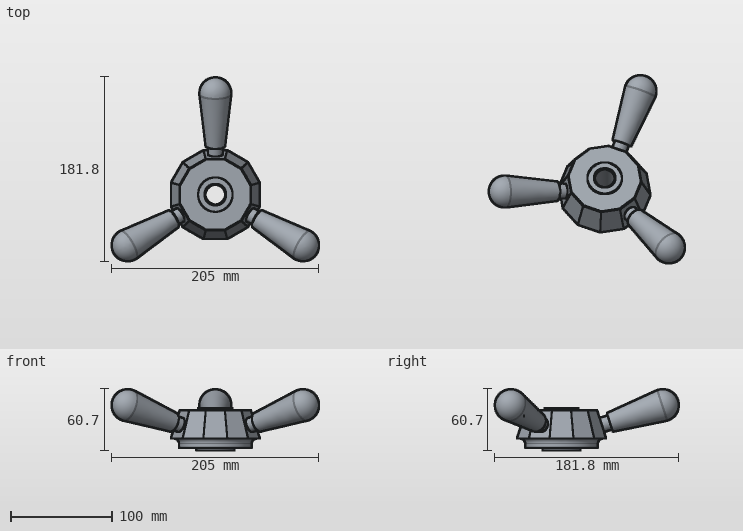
import cadquery as cq
import math

lower_collar_top = 2.5
skirt_bottom = 11.7
hub_top = 40.2
upper_collar_top = 42.0

lower_collar_diameter = 38.0
base_disc_diameter = 72.0
upper_collar_diameter = 34.0
hub_sides = 12
skirt_width = 88.0
hub_top_width = 70.5
hub_top_chamfer = 0.6
skirt_rim = 0.6
neck_fillet = 5.0
base_disc_edge_round = 0.8
lower_collar_edge_round = 0.6

bore_diameter = 19.3
bore_chamfer = 1.0

handle_count = 3
first_handle_angle = 90
handle_tilt = 18
grip_inner_diameter = 19.7
cap_diameter = 32.0
grip_length = 55.0
stem_diameter = 15.0
stem_length = 20.5
cap_band_width = 1.0
grip_edge_round = 0.8
cap_radius = cap_diameter / 2

overall_width = 205
overall_height = 60.7
second_handle_slope = math.radians(first_handle_angle + 360 / handle_count - 180)
cap_centre_radius = (overall_width / 2 - cap_radius) / math.cos(second_handle_slope)
cap_centre_height = overall_height - cap_radius


def dodecagon(width, height):
    """Regular polygon wire with the given width across its flats."""
    corner_radius = width / 2 / math.cos(math.pi / hub_sides)
    corners = []
    for i in range(hub_sides):
        angle = 2 * math.pi * (i + 0.5) / hub_sides
        corner_x = corner_radius * math.cos(angle)
        corner_y = corner_radius * math.sin(angle)
        corners.append(cq.Vector(corner_x, corner_y, height))
    return cq.Wire.makePolygon(corners, close=True)


def faceted_layer(bottom_width, bottom_height, top_width, top_height):
    """Solid between two dodecagons, with flat sides."""
    wires = [dodecagon(bottom_width, bottom_height), dodecagon(top_width, top_height)]
    return cq.Workplane(obj=cq.Solid.makeLoft(wires, True))


def make_hub():
    """Twelve-sided body with a round base below and collars on both ends."""
    rim_top = skirt_bottom + skirt_rim
    shoulder = hub_top - hub_top_chamfer
    body = faceted_layer(skirt_width, skirt_bottom, skirt_width, rim_top)
    body = body.union(faceted_layer(skirt_width, rim_top, hub_top_width, shoulder))
    top_face_width = hub_top_width - 2 * hub_top_chamfer
    body = body.union(faceted_layer(hub_top_width, shoulder, top_face_width, hub_top))

    base_radius = base_disc_diameter / 2
    fillet_start = skirt_bottom - neck_fillet
    fillet_mid = (
        base_radius + neck_fillet * (1 - math.cos(math.pi / 4)),
        fillet_start + neck_fillet * math.sin(math.pi / 4),
    )
    base_disc = (
        cq.Workplane("XZ")
        .moveTo(0, lower_collar_top)
        .lineTo(base_radius, lower_collar_top)
        .lineTo(base_radius, fillet_start)
        .threePointArc(fillet_mid, (base_radius + neck_fillet, skirt_bottom))
        .lineTo(0, skirt_bottom)
        .close()
        .revolve(360, (0, 0), (0, 1))
        .faces("<Z")
        .edges()
        .fillet(base_disc_edge_round)
    )
    lower_collar = (
        cq.Workplane("XY")
        .circle(lower_collar_diameter / 2)
        .extrude(skirt_bottom)
        .faces("<Z")
        .edges()
        .fillet(lower_collar_edge_round)
    )
    upper_collar = (
        cq.Workplane("XY", origin=(0, 0, hub_top))
        .circle(upper_collar_diameter / 2)
        .extrude(upper_collar_top - hub_top)
    )
    return body.union(base_disc).union(lower_collar).union(upper_collar)


def make_handle():
    """One handle above +X, turned about its own axis, then tilted and moved into place."""
    dome_mid = cap_radius * math.sin(math.pi / 4)
    profile = (
        cq.Workplane("XZ")
        .moveTo(-grip_length - stem_length, 0)
        .lineTo(-grip_length - stem_length, stem_diameter / 2)
        .lineTo(-grip_length, stem_diameter / 2)
        .lineTo(-grip_length, grip_inner_diameter / 2)
        .lineTo(-cap_band_width, cap_radius)
        .lineTo(0, cap_radius)
        .threePointArc((dome_mid, dome_mid), (cap_radius, 0))
        .close()
    )
    handle = profile.revolve(360, (0, 0), (1, 0))
    inner_rim = handle.edges("%CIRCLE").edges(cq.selectors.RadiusNthSelector(1))
    handle = inner_rim.fillet(grip_edge_round)
    handle = handle.rotate((0, 0, 0), (0, 1, 0), -handle_tilt)
    return handle.translate((cap_centre_radius, 0, cap_centre_height))


def make_bore():
    """Through bore, widened by a chamfer at the top."""
    radius = bore_diameter / 2
    bore = cq.Workplane("XY").circle(radius).extrude(upper_collar_top)
    countersink = (
        cq.Workplane("XY", origin=(0, 0, upper_collar_top - bore_chamfer))
        .circle(radius)
        .workplane(offset=bore_chamfer)
        .circle(radius + bore_chamfer)
        .loft()
    )
    return bore.union(countersink)


result = make_hub()
handle = make_handle()
for i in range(handle_count):
    angle = first_handle_angle + i * 360 / handle_count
    result = result.union(handle.rotate((0, 0, 0), (0, 0, 1), angle))
result = result.cut(make_bore())